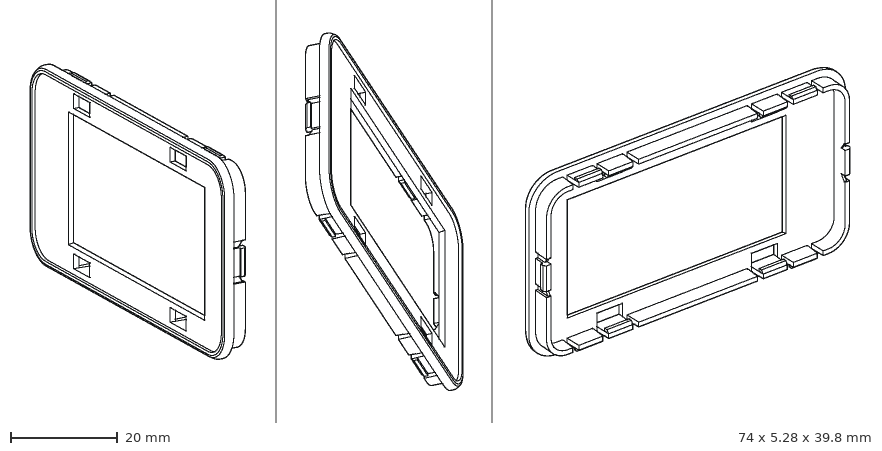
import cadquery as cq
LENGTH = 73.98
HEIGHT = 39.81
DEPTH = 5.28
CORNER_RADIUS = 6.55

FLANGE_DEPTH = 1.86
RIM_OUTER_INSET = 0.92
BEVEL_STEPS = [(1.15, 0.0), (0.93, 0.05), (0.15, 0.5), (0.0, RIM_OUTER_INSET)]
RIM_INNER_INSET = 1.5
RECESS_DEPTH = 0.7

WINDOW_LENGTH = 51.05
WINDOW_CENTER_X = 2.45
WINDOW_FRONT_HEIGHT = 26.2
WINDOW_BACK_HEIGHT = 25.8

WALL_INSET = 1.6
WALL_THICKNESS = 1.05
WALL_HALF_X = LENGTH / 2 - WALL_INSET
WALL_HALF_Z = HEIGHT / 2 - WALL_INSET
WALL_INNER_Z = WALL_HALF_Z - WALL_THICKNESS

TAB_LENGTH = 6.0
GAP_BASE = 1.0
GAP_TOP = 1.35
TAB_PITCH = TAB_LENGTH + GAP_BASE
HOOK_TAB_X = 18.05
CLIP_TAB_X = HOOK_TAB_X + TAB_PITCH
GAP_CENTERS = [HOOK_TAB_X + step * TAB_PITCH for step in (-0.5, 0.5, 1.5)]

RIDGE_BOTTOM = 4.05
RIDGE_SHOULDER = 4.75
CLIP_PROJECTION = 0.5
HOOK_PROJECTION = 0.65
RIDGE_LENGTH = 5.7

SLOT_HEIGHT = 2.9

SIDE_TAB_HALF = 2.8
SIDE_GAP_OUTER = 4.15
WEB_RECESS = 0.5
WEB_LOW_Y = 4.05
WEB_HIGH_Y = 5.0


def box_between(x_range, y_range, z_range):
    size = [high - low for low, high in (x_range, y_range, z_range)]
    return cq.Workplane().box(*size, centered=False).translate((x_range[0], y_range[0], z_range[0]))


def rounded_slab(y_start, y_end, inset):
    """Rounded plate between two depths, offset inwards from the outer edge."""
    slab = box_between(
        (inset - LENGTH / 2, LENGTH / 2 - inset),
        (y_start, y_end),
        (inset - HEIGHT / 2, HEIGHT / 2 - inset),
    )
    return slab.edges("|Y").fillet(CORNER_RADIUS - inset)


def rounded_wire(y, inset):
    """Outline of the plate at depth y, offset inwards from the outer edge."""
    return rounded_slab(y, y + DEPTH, inset).faces("<Y").wires().val()


def rounded_taper(y_start, inset_start, y_end, inset_end):
    wires = [rounded_wire(y_start, inset_start), rounded_wire(y_end, inset_end)]
    return cq.Workplane(cq.Solid.makeLoft(wires, True))


def mirrored_in_x(body):
    return body.union(body.mirror("YZ"))


def mirrored_in_z(body):
    return body.union(body.mirror("XY"))


def front_plate():
    plate = rounded_slab(BEVEL_STEPS[0][0], FLANGE_DEPTH, 0)
    for (back_y, back_inset), (front_y, front_inset) in zip(BEVEL_STEPS, BEVEL_STEPS[1:]):
        plate = plate.union(rounded_taper(front_y, front_inset, back_y, back_inset))
    return plate.cut(rounded_slab(0, RECESS_DEPTH, RIM_INNER_INSET))


def window():
    half_front = WINDOW_FRONT_HEIGHT / 2
    half_back = WINDOW_BACK_HEIGHT / 2
    section = [
        (RECESS_DEPTH, -half_front),
        (RECESS_DEPTH, half_front),
        (FLANGE_DEPTH, half_back),
        (FLANGE_DEPTH, -half_back),
    ]
    start_x = WINDOW_CENTER_X - WINDOW_LENGTH / 2
    return cq.Workplane("YZ", origin=(start_x, 0, 0)).polyline(section).close().extrude(WINDOW_LENGTH)


def slots():
    slot = box_between(
        (HOOK_TAB_X - TAB_LENGTH / 2, HOOK_TAB_X + TAB_LENGTH / 2),
        (RECESS_DEPTH, FLANGE_DEPTH),
        (WALL_INNER_Z - SLOT_HEIGHT, WALL_INNER_Z),
    )
    return mirrored_in_z(mirrored_in_x(slot))


def snap_wall():
    outer = rounded_slab(FLANGE_DEPTH, DEPTH, WALL_INSET)
    return outer.cut(rounded_slab(FLANGE_DEPTH, DEPTH, WALL_INSET + WALL_THICKNESS))


def long_wall_gaps():
    gaps = cq.Workplane()
    for center in GAP_CENTERS:
        section = [
            (center - GAP_BASE / 2, FLANGE_DEPTH),
            (center + GAP_BASE / 2, FLANGE_DEPTH),
            (center + GAP_TOP / 2, DEPTH),
            (center - GAP_TOP / 2, DEPTH),
        ]
        gaps = gaps.add(cq.Workplane("XY").polyline(section).close().extrude(HEIGHT / 2, both=True))
    return mirrored_in_x(gaps.combine())


def short_wall_gaps():
    gap = box_between((-LENGTH / 2, LENGTH / 2), (FLANGE_DEPTH, DEPTH), (SIDE_TAB_HALF, SIDE_GAP_OUTER))
    return mirrored_in_z(gap)


def short_wall_webs():
    section = [
        (FLANGE_DEPTH, SIDE_TAB_HALF),
        (WEB_LOW_Y, SIDE_TAB_HALF),
        (WEB_HIGH_Y, SIDE_GAP_OUTER),
        (FLANGE_DEPTH, SIDE_GAP_OUTER),
    ]
    inner_x = WALL_HALF_X - WALL_THICKNESS
    web = cq.Workplane("YZ", origin=(inner_x, 0, 0)).polyline(section).close()
    web = web.extrude(WALL_THICKNESS - WEB_RECESS)
    return mirrored_in_z(mirrored_in_x(web))


def ridge_section(plane, wall_face, projection):
    """Ridge profile on a plane whose first axis crosses the wall and second is Y."""
    tip = wall_face + projection
    section = [
        (wall_face, RIDGE_BOTTOM),
        (tip, RIDGE_BOTTOM),
        (tip, RIDGE_SHOULDER),
        (wall_face, DEPTH),
    ]
    return plane.polyline(section).close()


def long_wall_ridge(center_x, wall_face, projection):
    plane = cq.Workplane(cq.Plane((center_x, 0, 0), xDir=(0, 0, 1), normal=(-1, 0, 0)))
    ridge = ridge_section(plane, wall_face, projection).extrude(RIDGE_LENGTH / 2, both=True)
    return mirrored_in_z(mirrored_in_x(ridge))


def short_wall_ridges():
    section = ridge_section(cq.Workplane("XY"), WALL_HALF_X, CLIP_PROJECTION)
    return mirrored_in_x(section.extrude(SIDE_TAB_HALF, both=True))


frame = front_plate().cut(window()).cut(slots())
wall = snap_wall().cut(long_wall_gaps()).cut(short_wall_gaps())
result = (
    frame.union(wall)
    .union(short_wall_webs())
    .union(long_wall_ridge(CLIP_TAB_X, WALL_HALF_Z, CLIP_PROJECTION))
    .union(long_wall_ridge(HOOK_TAB_X, WALL_INNER_Z, -HOOK_PROJECTION))
    .union(short_wall_ridges())
)